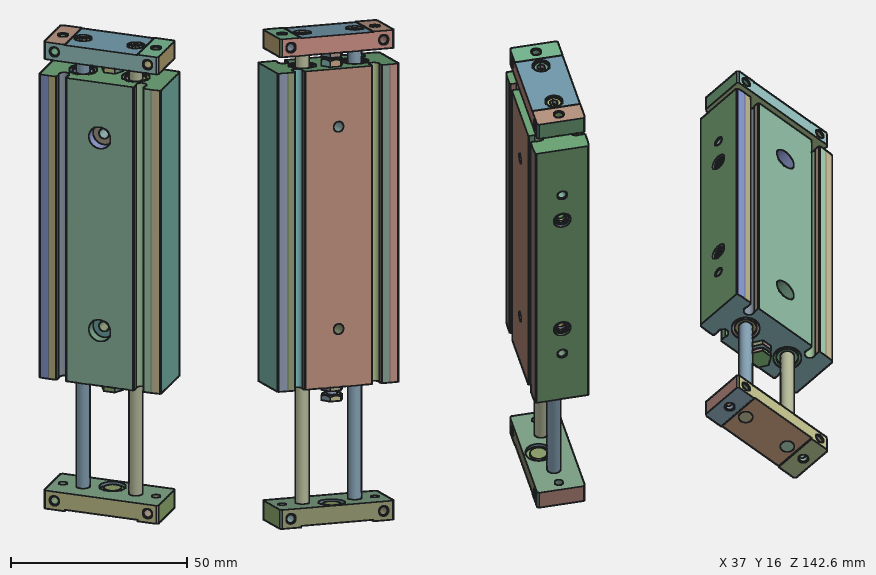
import cadquery as cq
import math

TOP = 142.6
BOTTOM_PLATE_THICKNESS = 5.5
TOP_PLATE_THICKNESS = 5.3
HOUSING_BOTTOM = 40.2
HOUSING_LENGTH = 92.7
HOUSING_TOP = HOUSING_BOTTOM + HOUSING_LENGTH
HOUSING_MIDDLE = HOUSING_BOTTOM + HOUSING_LENGTH / 2

HOUSING_WIDTH = 37.0
HOUSING_DEPTH = 16.0
SIDE_CHAMFER = 0.35
CROWN_START = 15.5
CROWN_DROP = 0.1
SLOT_X = 11.7
SLOT_WIDTH = 2.7
SLOT_WALL = 1.9
SLOT_DEPTH = 4.0
SLOT_CHAMFER = 0.3

ROD_RECESSES = ((8.0, 0.3), (6.3, 0.7))

MOUNT_SPACING = 58.9
MOUNT_DIAMETER = 3.0
MOUNT_BORE_DIAMETER = 6.5
MOUNT_BORE_DEPTH = 3.4
PORT_SPACING = 40.4
PORT_RIM_DIAMETER = 5.0
PORT_DIAMETER = 4.1
PORT_DEPTH = 0.9
PORT_PASSAGE_RIM_DIAMETER = 3.1
PORT_PASSAGE_DIAMETER = 2.4
PORT_PASSAGE_DEPTH = 1.4
CONE_HEIGHT = 0.7

THREAD_RIM_DIAMETER = 3.0
THREAD_DIAMETER = 2.4
SIDE_HOLE_DEPTH = 3.5

PLATE_WIDTH = 34.7
PLATE_DEPTH = 14.0
PLATE_CHAMFER = 0.5
PLATE_HOLE_X = 14.1
RELIEF_WIDTH = 22.0
BOTTOM_RELIEF = 0.4
TOP_RELIEF = 0.1

HEXAGON_SIDES = 6

ROD_X = 8.0
ROD_DIAMETER = 4.0
HEAD_DIAMETER = 4.1
HEAD_HEIGHT = 2.1
ROD_POCKET_DIAMETER = 5.0
ROD_POCKET_DEPTH = 0.5
SOCKET_DIAMETER = 2.4
SOCKET_DEPTH = 1.4

ADJUSTER_Y = 2.5
HEX_DIAMETER = 6.4
HEX_CHAMFER_WIDTH = 0.5
HEX_CHAMFER_HEIGHT = 0.4
SHANK_DIAMETER = 3.0
UPPER_NUT_HEIGHT = 2.1
UPPER_NECK_HEIGHT = 0.5
LOWER_HEX_HEIGHT = 1.7
LOWER_NECK_HEIGHT = 1.3
BUMPER_POCKET_DIAMETER = 7.5
BUMPER_DIAMETER = 5.0
BUMPER_POCKET_DEPTH = 1.0
BUMPER_HEIGHT = 0.7

TOP_PLATE_BOTTOM = TOP - TOP_PLATE_THICKNESS
ROD_TOP = TOP - TOP_RELIEF - ROD_POCKET_DEPTH
HEAD_BOTTOM = ROD_TOP - HEAD_HEIGHT
UPPER_HEAD_HEIGHT = TOP_PLATE_BOTTOM - HOUSING_TOP - UPPER_NUT_HEIGHT - UPPER_NECK_HEIGHT
LOWER_ADJUSTER_BOTTOM = HOUSING_BOTTOM - 2 * LOWER_HEX_HEIGHT - LOWER_NECK_HEIGHT


def cylinder(diameter, height, x=0, y=0, z=0):
    """Upright cylinder standing on the point (x, y, z)."""
    return cq.Workplane("XY", origin=(x, y, z)).circle(diameter / 2).extrude(height)


def rimmed_hole(origin, direction, diameter, rim_diameter, depth):
    """Cutter for a hole with a 45-degree chamfered rim."""
    rim = (rim_diameter - diameter) / 2
    start = cq.Vector(*origin)
    axis = cq.Vector(*direction)
    bore = cq.Solid.makeCylinder(diameter / 2, depth, start, axis)
    cone = cq.Solid.makeCone(rim_diameter / 2, diameter / 2, rim, start, axis)
    return bore.fuse(cone)


def housing_blank():
    """Housing section mirrored from one quarter, with its flat faces curving off towards the sides."""
    half_width = HOUSING_WIDTH / 2
    half_depth = HOUSING_DEPTH / 2
    crown_end = half_width - SIDE_CHAMFER
    run = crown_end - CROWN_START
    radius = (run**2 + CROWN_DROP**2) / (2 * CROWN_DROP)
    crown_middle = (CROWN_START + run / 2, half_depth - radius + math.sqrt(radius**2 - run**2 / 4))
    edge_y = half_depth - CROWN_DROP
    side_y = edge_y - SIDE_CHAMFER
    quarter = (
        cq.Workplane("XY", origin=(0, 0, HOUSING_BOTTOM))
        .lineTo(0, half_depth)
        .lineTo(CROWN_START, half_depth)
        .threePointArc(crown_middle, (crown_end, edge_y))
        .lineTo(half_width, side_y)
        .lineTo(half_width, 0)
        .close()
        .extrude(HOUSING_LENGTH)
    )
    half = quarter.union(quarter.mirror("XZ"))
    return half.union(half.mirror("YZ")).clean()


def sensor_slot(x, side):
    """Round-bottomed, chamfered slot along the housing, open to the +Y (side 1) or -Y (side -1) face."""
    face_y = side * HOUSING_DEPTH / 2
    chamfer_end_y = face_y - side * SLOT_CHAMFER
    wall_end_y = face_y - side * SLOT_WALL
    bottom_y = face_y - side * SLOT_DEPTH
    half = SLOT_WIDTH / 2
    return (
        cq.Workplane("XY", origin=(0, 0, HOUSING_BOTTOM))
        .moveTo(x - half - SLOT_CHAMFER, face_y)
        .lineTo(x - half, chamfer_end_y)
        .lineTo(x - half, wall_end_y)
        .threePointArc((x, bottom_y), (x + half, wall_end_y))
        .lineTo(x + half, chamfer_end_y)
        .lineTo(x + half + SLOT_CHAMFER, face_y)
        .close()
        .extrude(HOUSING_LENGTH)
    )


def mounting_hole(z):
    """Through hole along Y, counterbored from the -Y face."""
    front = cq.Workplane("XZ", origin=(0, -HOUSING_DEPTH / 2, z))
    through = front.circle(MOUNT_DIAMETER / 2).extrude(-HOUSING_DEPTH)
    return through.union(front.circle(MOUNT_BORE_DIAMETER / 2).extrude(-MOUNT_BORE_DEPTH))


def air_port(z):
    """Chamfered port in the -X face, with a narrower, cone-ended passage behind it."""
    x = -HOUSING_WIDTH / 2
    port = rimmed_hole((x, 0, z), (1, 0, 0), PORT_DIAMETER, PORT_RIM_DIAMETER, PORT_DEPTH)
    passage = rimmed_hole(
        (x + PORT_DEPTH, 0, z),
        (1, 0, 0),
        PORT_PASSAGE_DIAMETER,
        PORT_PASSAGE_RIM_DIAMETER,
        PORT_PASSAGE_DEPTH,
    )
    cone_x = x + PORT_DEPTH + PORT_PASSAGE_DEPTH
    cone = cq.Solid.makeCone(
        PORT_PASSAGE_DIAMETER / 2, 0, CONE_HEIGHT, cq.Vector(cone_x, 0, z), cq.Vector(1, 0, 0))
    return port.fuse(passage).fuse(cone)


def make_housing():
    body = housing_blank()
    for x in (-SLOT_X, SLOT_X):
        for side in (-1, 1):
            body = body.cut(sensor_slot(x, side))
    for x in (-ROD_X, ROD_X):
        body = body.cut(cylinder(ROD_DIAMETER, HOUSING_LENGTH, x, 0, HOUSING_BOTTOM))
        for diameter, depth in ROD_RECESSES:
            for z in (HOUSING_BOTTOM, HOUSING_TOP - depth):
                body = body.cut(cylinder(diameter, depth, x, 0, z))
    for end in (-1, 1):
        mount_z = HOUSING_MIDDLE + end * MOUNT_SPACING / 2
        side_start = (-HOUSING_WIDTH / 2, 0, mount_z)
        body = body.cut(mounting_hole(mount_z))
        side_hole = rimmed_hole(side_start, (1, 0, 0), THREAD_DIAMETER, THREAD_RIM_DIAMETER, SIDE_HOLE_DEPTH)
        body = body.cut(cq.Workplane(side_hole))
        body = body.cut(cq.Workplane(air_port(HOUSING_MIDDLE + end * PORT_SPACING / 2)))
    return body


def plate_blank(bottom, thickness, outer_z, inward):
    """Chamfered block with threaded holes along Y, and along Z from its outer face, near both ends."""
    plate = (
        cq.Workplane("XY", origin=(0, 0, bottom))
        .rect(PLATE_WIDTH, PLATE_DEPTH)
        .extrude(thickness)
        .edges("|Z")
        .chamfer(PLATE_CHAMFER)
    )
    middle = bottom + thickness / 2
    for x in (-PLATE_HOLE_X, PLATE_HOLE_X):
        starts = (
            ((x, -PLATE_DEPTH / 2, middle), (0, 1, 0), PLATE_DEPTH),
            ((x, PLATE_DEPTH / 2, middle), (0, -1, 0), PLATE_DEPTH),
            ((x, 0, outer_z), (0, 0, inward), thickness),
        )
        for origin, direction, depth in starts:
            hole = rimmed_hole(origin, direction, THREAD_DIAMETER, THREAD_RIM_DIAMETER, depth)
            plate = plate.cut(cq.Workplane(hole))
    return plate


def relief(bottom, depth):
    """Shallow cutter across the middle of a plate's outer face."""
    return cq.Workplane("XY", origin=(0, 0, bottom)).rect(RELIEF_WIDTH, PLATE_DEPTH).extrude(depth)


def make_top_plate():
    plate = plate_blank(TOP_PLATE_BOTTOM, TOP_PLATE_THICKNESS, TOP, -1)
    plate = plate.cut(relief(TOP - TOP_RELIEF, TOP_RELIEF))
    for x in (-ROD_X, ROD_X):
        plate = plate.cut(cylinder(ROD_DIAMETER, TOP_PLATE_THICKNESS, x, 0, TOP_PLATE_BOTTOM))
        plate = plate.cut(cylinder(HEAD_DIAMETER, HEAD_HEIGHT, x, 0, HEAD_BOTTOM))
        plate = plate.cut(cylinder(ROD_POCKET_DIAMETER, ROD_POCKET_DEPTH, x, 0, ROD_TOP))
    return plate


def make_bottom_plate():
    plate = plate_blank(0, BOTTOM_PLATE_THICKNESS, 0, 1).cut(relief(0, BOTTOM_RELIEF))
    for x in (-ROD_X, ROD_X):
        plate = plate.cut(cylinder(ROD_DIAMETER, BOTTOM_PLATE_THICKNESS, x))
    pocket_floor = BOTTOM_PLATE_THICKNESS - BUMPER_POCKET_DEPTH
    return plate.cut(cylinder(BUMPER_POCKET_DIAMETER, BUMPER_POCKET_DEPTH, 0, ADJUSTER_Y, pocket_floor))


def make_rod(x):
    """Rod through both plates and the housing, with a hexagon-socket head in the top plate."""
    rod = cylinder(ROD_DIAMETER, HEAD_BOTTOM - BOTTOM_RELIEF, x, 0, BOTTOM_RELIEF)
    rod = rod.union(cylinder(HEAD_DIAMETER, HEAD_HEIGHT, x, 0, HEAD_BOTTOM))
    socket = (
        cq.Workplane("XY", origin=(x, 0, ROD_TOP))
        .polygon(HEXAGON_SIDES, SOCKET_DIAMETER)
        .extrude(-SOCKET_DEPTH)
    )
    return rod.cut(socket)


def make_adjuster(bottom, lower_height, neck_height, upper_height):
    """Two hexagons on a threaded shank; the lower one has its top corners chamfered."""
    top_plane = bottom + lower_height
    hexagon = (
        cq.Workplane("XY", origin=(0, ADJUSTER_Y, bottom))
        .polygon(HEXAGON_SIDES, HEX_DIAMETER)
        .extrude(lower_height)
    )
    turned_blank = (
        cylinder(HEX_DIAMETER, lower_height, 0, ADJUSTER_Y, bottom)
        .faces(">Z")
        .chamfer(HEX_CHAMFER_HEIGHT, HEX_CHAMFER_WIDTH)
    )
    lower = hexagon.intersect(turned_blank)
    neck = cylinder(SHANK_DIAMETER, neck_height, 0, ADJUSTER_Y, top_plane)
    upper = (
        cq.Workplane("XY", origin=(0, ADJUSTER_Y, top_plane + neck_height))
        .polygon(HEXAGON_SIDES, HEX_DIAMETER)
        .extrude(upper_height)
    )
    return lower.union(neck).union(upper)


def make_bumper():
    pocket_floor = BOTTOM_PLATE_THICKNESS - BUMPER_POCKET_DEPTH
    return cylinder(BUMPER_DIAMETER, BUMPER_HEIGHT, 0, ADJUSTER_Y, pocket_floor)


housing = make_housing()
top_plate = make_top_plate()
bottom_plate = make_bottom_plate()
rods = [make_rod(x) for x in (-ROD_X, ROD_X)]
upper_adjuster = make_adjuster(HOUSING_TOP, UPPER_NUT_HEIGHT, UPPER_NECK_HEIGHT, UPPER_HEAD_HEIGHT)
lower_adjuster = make_adjuster(LOWER_ADJUSTER_BOTTOM, LOWER_HEX_HEIGHT, LOWER_NECK_HEIGHT, LOWER_HEX_HEIGHT)
bumper = make_bumper()

result = cq.Compound.makeCompound([
    housing.val(), top_plate.val(), bottom_plate.val(),
    *[rod.val() for rod in rods],
    upper_adjuster.val(), lower_adjuster.val(), bumper.val(),
])